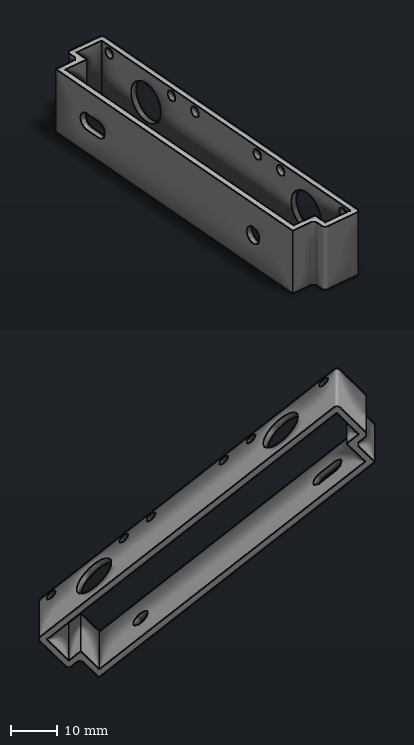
import cadquery as cq

length = 87.0
depth = 16.0
height = 16.5

wall = 1.5
rear_depth = 10.0
step = 3.5
corner_radius = 1.0

mount_diameter = 4.2
slot_length = 8.2
slot_x = -27.6
mount_hole_x = 26.6

window_diameter = 10.0
window_x = 27.1
screw_diameter = 2.5
screw_edge_distance = 2.0
screw_offsets = (10.5, 18.45, 39.5)

front_y = -depth / 2
rear_y = depth / 2
step_y = rear_y - rear_depth


def stepped_block(offset):
    """T-shaped prism, its outline moved inward by the given offset."""
    rear_half = length / 2 - offset
    front_half = length / 2 - step - offset
    front = front_y + offset
    shoulder = step_y + offset
    rear = rear_y - offset
    outline = [
        (-front_half, front),
        (front_half, front),
        (front_half, shoulder),
        (rear_half, shoulder),
        (rear_half, rear),
        (-rear_half, rear),
        (-rear_half, shoulder),
        (-front_half, shoulder),
    ]
    return (
        cq.Workplane("XY")
        .polyline(outline)
        .close()
        .extrude(height)
        .translate((0, 0, -height / 2))
    )


def wall_sketch(outer_y):
    """Sketch plane on the outside of a wall, with local axes X and Z."""
    return cq.Workplane("XZ", origin=(0, outer_y, 0))


outer = stepped_block(0)
outer = outer.edges("|Z").edges(cq.selectors.BoxSelector(
    (-length, step_y - wall, -height),
    (length, depth, height),
)).fillet(corner_radius)
tube = outer.cut(stepped_block(wall))

slot = wall_sketch(front_y).center(slot_x, 0).slot2D(slot_length, mount_diameter).extrude(-wall)
mount_hole = wall_sketch(front_y).center(mount_hole_x, 0).circle(mount_diameter / 2).extrude(-wall)

screw_z = height / 2 - screw_edge_distance
window_points = [(side * window_x, 0) for side in (-1, 1)]
screw_points = [(side * x, screw_z) for side in (-1, 1) for x in screw_offsets]
windows = wall_sketch(rear_y).pushPoints(window_points).circle(window_diameter / 2).extrude(wall)
screw_holes = wall_sketch(rear_y).pushPoints(screw_points).circle(screw_diameter / 2).extrude(wall)

result = tube.cut(slot).cut(mount_hole).cut(windows).cut(screw_holes)